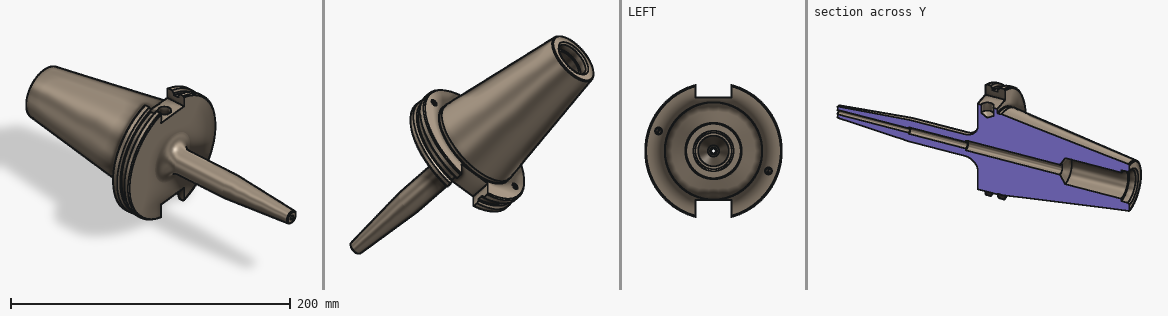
import cadquery as cq
import math

total_length = 231.5
gauge_x = 101.5
flange_start = gauge_x + 3.2
flange_end = gauge_x + 19.0
shank_end = 174.9

gauge_radius = 35.0
taper_ratio = 7 / 24
taper_end_radius = gauge_radius - gauge_x * taper_ratio / 2
taper_end_chamfer = 0.7
neck_radius = 69.2 / 2
neck_bevel = 1.5
neck_corner = 0.5
flange_radius = 98.2 / 2
flange_chamfer = 1.0
shank_radius = 19.0 / 2
shank_fillet = 10.2
tip_radius = 5.0
tip_chamfer = 0.7
tip_taper = (shank_radius - tip_radius) / (total_length - shank_end)

groove_x = flange_start + 8.0
groove_radius = 45.6
groove_floor_width = 4.2
groove_top_width = 7.0
groove_bevel_depth = 1.9

notch_width = 25.7
top_notch_floor = 38.5
bottom_notch_floor = 35.2
notch_hole_diameter = 9.5
notch_hole_depth = 7.0

mouth_diameter = 29.0
mouth_depth = 1.5
pilot_diameter = 26.2
pilot_depth = 6.5
thread_diameter = 22.0
thread_depth = 51.0
passage_diameter = 8.0
passage_end = 129.7
feed_diameter = 5.0
feed_end = shank_end
tip_bore_diameter = 3.2

coolant_angle = 20
coolant_hole_count = 2
coolant_circle_radius = 42.0
face_hole_diameter = 5.0
face_hole_inner_diameter = 4.2
face_hole_bevel = 1.0
groove_hole_diameter = 3.2

drill_half_angle = math.radians(59)


def drill_tip(diameter):
    """Length of the conical bottom of a drilled hole."""
    return diameter / 2 / math.tan(drill_half_angle)


def drilled_hole(diameter, depth, origin, direction):
    """Cylinder with a conical bottom, pointing along the direction."""
    radius = diameter / 2
    start, axis = cq.Vector(*origin), cq.Vector(*direction)
    barrel = cq.Solid.makeCylinder(radius, depth, start, axis)
    point = cq.Solid.makeCone(radius, 0, drill_tip(diameter), start + axis * depth, axis)
    return cq.Workplane(barrel).union(cq.Workplane(point))


def outer_body():
    """Taper, flange and shank turned in one revolve."""
    arc_shift = shank_fillet * math.sqrt(0.5)
    fillet_center_x = flange_end + shank_fillet
    fillet_center_r = shank_radius + shank_fillet
    taper_chamfer_radius = taper_end_radius + taper_end_chamfer * taper_ratio / 2
    return (
        cq.Workplane("XY")
        .moveTo(0, 0)
        .lineTo(0, taper_end_radius - taper_end_chamfer)
        .lineTo(taper_end_chamfer, taper_chamfer_radius)
        .lineTo(gauge_x, gauge_radius)
        .lineTo(gauge_x + neck_bevel, neck_radius)
        .lineTo(flange_start - neck_corner, neck_radius)
        .lineTo(flange_start, neck_radius + neck_corner)
        .lineTo(flange_start, flange_radius - flange_chamfer)
        .lineTo(flange_start + flange_chamfer, flange_radius)
        .lineTo(flange_end - flange_chamfer, flange_radius)
        .lineTo(flange_end, flange_radius - flange_chamfer)
        .lineTo(flange_end, fillet_center_r)
        .threePointArc(
            (fillet_center_x - arc_shift, fillet_center_r - arc_shift),
            (fillet_center_x, shank_radius),
        )
        .lineTo(shank_end, shank_radius)
        .lineTo(total_length - tip_chamfer, tip_radius + tip_taper * tip_chamfer)
        .lineTo(total_length, tip_radius - tip_chamfer)
        .lineTo(total_length, 0)
        .close()
        .revolve(360, (0, 0, 0), (1, 0, 0))
    )


def gripper_groove():
    """Ring with a straight floor and bevelled upper walls."""
    half_floor = groove_floor_width / 2
    half_top = groove_top_width / 2
    bevel_radius = flange_radius - groove_bevel_depth
    outside = flange_radius + 2.3
    return (
        cq.Workplane("XY")
        .moveTo(groove_x - half_floor, groove_radius)
        .lineTo(groove_x - half_floor, bevel_radius)
        .lineTo(groove_x - half_top, flange_radius)
        .lineTo(groove_x - half_top, outside)
        .lineTo(groove_x + half_top, outside)
        .lineTo(groove_x + half_top, flange_radius)
        .lineTo(groove_x + half_floor, bevel_radius)
        .lineTo(groove_x + half_floor, groove_radius)
        .close()
        .revolve(360, (0, 0, 0), (1, 0, 0))
    )


def driving_notch(floor, side):
    """Notch across the flange rim; side is +1 on top and -1 underneath."""
    length = flange_end - flange_start
    middle_x = (flange_start + flange_end) / 2
    block = cq.Workplane("XY").box(length, notch_width, flange_radius)
    return block.translate((middle_x, 0, side * (floor + flange_radius / 2)))


def axial_bore():
    """Countersunk pilot, thread bore with drilled bottom, and coolant passages."""
    pilot_radius = pilot_diameter / 2
    thread_radius = thread_diameter / 2
    passage_radius = passage_diameter / 2
    feed_radius = feed_diameter / 2
    tip_bore_radius = tip_bore_diameter / 2
    cone_length = drill_tip(thread_diameter) - drill_tip(passage_diameter)
    return (
        cq.Workplane("XY")
        .moveTo(0, 0)
        .lineTo(0, mouth_diameter / 2)
        .lineTo(mouth_depth, pilot_radius)
        .lineTo(pilot_depth, pilot_radius)
        .lineTo(pilot_depth, thread_radius)
        .lineTo(thread_depth, thread_radius)
        .lineTo(thread_depth + cone_length, passage_radius)
        .lineTo(passage_end, passage_radius)
        .lineTo(passage_end, feed_radius)
        .lineTo(feed_end, feed_radius)
        .lineTo(feed_end, tip_bore_radius)
        .lineTo(total_length, tip_bore_radius)
        .lineTo(total_length, 0)
        .close()
        .revolve(360, (0, 0, 0), (1, 0, 0))
    )


def coolant_hole():
    """Bevelled hole in the flange face, met by a radial hole from the groove."""
    radial = (0, math.cos(math.radians(coolant_angle)), math.sin(math.radians(coolant_angle)))
    y = coolant_circle_radius * radial[1]
    z = coolant_circle_radius * radial[2]
    mouth = cq.Solid.makeCone(
        face_hole_diameter / 2,
        face_hole_inner_diameter / 2,
        face_hole_bevel,
        cq.Vector(flange_start, y, z),
        cq.Vector(1, 0, 0),
    )
    depth = groove_x - flange_start
    axial = drilled_hole(face_hole_inner_diameter, depth, (flange_start, y, z), (1, 0, 0))
    cross = cq.Solid.makeCylinder(
        groove_hole_diameter / 2,
        flange_radius - coolant_circle_radius,
        cq.Vector(groove_x, y, z),
        cq.Vector(*radial),
    )
    return axial.union(cq.Workplane(mouth)).union(cq.Workplane(cross))


result = outer_body().cut(gripper_groove()).cut(axial_bore())
result = result.cut(driving_notch(top_notch_floor, 1))
result = result.cut(driving_notch(bottom_notch_floor, -1))
result = result.cut(
    drilled_hole(notch_hole_diameter, notch_hole_depth, (groove_x, 0, top_notch_floor), (0, 0, -1))
)
for index in range(coolant_hole_count):
    turn = index * 360 / coolant_hole_count
    result = result.cut(coolant_hole().rotate((0, 0, 0), (1, 0, 0), turn))